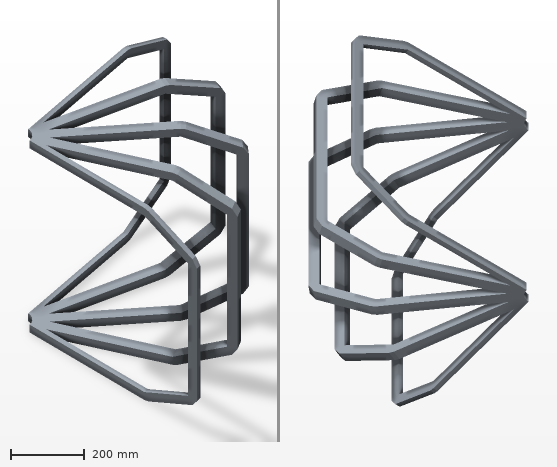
import cadquery as cq
import math

height = 740.0
reach = 620.0
bar = 30.0
hub_radius = 30.0
blade_count = 5
bend_radius = 435.0
upright_half = 254.5

fan_step = 90.0 / (blade_count - 1)
half_height = height / 2
inner_half_height = half_height - bar
inner_reach = reach - bar

slope = math.atan2(inner_half_height - upright_half, inner_reach - bend_radius)
normal_r = bar * math.sin(slope)
normal_z = bar * math.cos(slope)

inner_upper = [
    (hub_radius, inner_half_height),
    (bend_radius, inner_half_height),
    (inner_reach, upright_half),
]
outer_upper = [
    (hub_radius, half_height),
    (bend_radius, half_height),
    (bend_radius + normal_r, inner_half_height + normal_z),
    (inner_reach + normal_r, upright_half + normal_z),
    (reach, upright_half),
]


def mirror_down(points):
    """Reflect points in the middle plane and reverse their order."""
    return [(r, -z) for r, z in reversed(points)]


def make_blade():
    """Open C-shaped frame standing in the XZ plane, centred on Y = 0."""
    outer = outer_upper + mirror_down(outer_upper)
    inner = inner_upper + mirror_down(inner_upper)
    outline = outer + inner[::-1]
    return cq.Workplane("XZ").polyline(outline).close().extrude(bar / 2, both=True)


def make_quarter_envelope():
    """Block envelope of the quarter turn, trimming the two end frames to half width."""
    return cq.Workplane("XY").box(reach, reach, height, centered=(False, False, True))


def make_fan():
    """All frames joined at the hub by their overlapping inner ends."""
    blade = make_blade()
    fan = blade
    for index in range(1, blade_count):
        fan = fan.union(blade.rotate((0, 0, 0), (0, 0, 1), index * fan_step))
    return fan


result = make_fan().intersect(make_quarter_envelope())